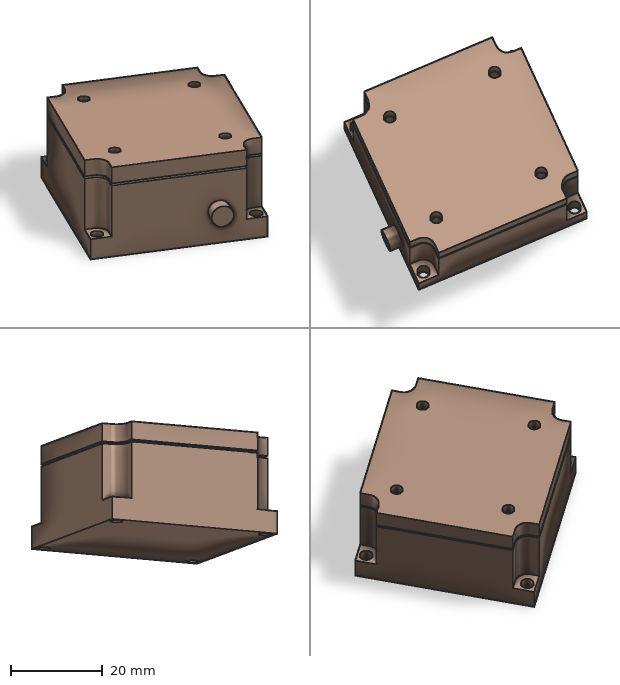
import cadquery as cq
import math

overall_length = 43
side = 40.05
height = 22.0
flange_height = 5.0
lid_thickness = 4.0

gap_height = 0.5
neck_inset = 1.05

corner_inset = 2.0
notch_radius = 2.75
mount_hole_diameter = 2.75

lid_hole_spacing = 25.0
lid_hole_diameter = 2.6
lid_hole_depth = lid_thickness
drill_point_angle = 118

outlet_diameter = 5.0
outlet_length = overall_length - side
outlet_y = 9.05
outlet_z = 8.0

gap_top = height - lid_thickness
gap_bottom = gap_top - gap_height
corner_spacing = side - 2 * corner_inset


def notched_block(bottom, top, inset):
    """Square block with rounded corner notches, its whole outline moved inward by inset."""
    thickness = top - bottom
    block_side = side - 2 * inset
    radius = notch_radius + inset
    notch_reach = corner_inset + radius
    notch_centre = (side - notch_reach) / 2
    block = cq.Workplane("XY", origin=(0, 0, bottom)).rect(block_side, block_side).extrude(thickness)
    notch = (
        cq.Workplane("XY", origin=(notch_centre, notch_centre, bottom))
        .rect(notch_reach, notch_reach)
        .extrude(thickness)
        .edges("|Z and <X and <Y")
        .fillet(radius)
    )
    for corner in range(4):
        block = block.cut(notch.rotate((0, 0, 0), (0, 0, 1), 90 * corner))
    return block


def drill(depth):
    """Drill pointing down from the lid top, with a conical tip below its full-diameter depth."""
    radius = lid_hole_diameter / 2
    tip_length = radius / math.tan(math.radians(drill_point_angle / 2))
    return (
        cq.Workplane("XZ")
        .moveTo(0, height)
        .lineTo(radius, height)
        .lineTo(radius, height - depth)
        .lineTo(0, height - depth - tip_length)
        .close()
        .revolve(360, (0, 0, 0), (0, 1, 0))
        .val()
    )


flange = cq.Workplane("XY").rect(side, side).extrude(flange_height)
body = notched_block(flange_height, gap_bottom, 0)
neck = notched_block(gap_bottom, gap_top, neck_inset)
lid = notched_block(gap_top, height, 0)
housing = flange.union(body).union(neck).union(lid)

mount_holes = (
    cq.Workplane("XY")
    .rect(corner_spacing, corner_spacing, forConstruction=True)
    .vertices()
    .circle(mount_hole_diameter / 2)
    .extrude(flange_height)
)

lid_holes = (
    cq.Workplane("XY")
    .rect(lid_hole_spacing, lid_hole_spacing, forConstruction=True)
    .vertices()
    .eachpoint(lambda place: drill(lid_hole_depth).moved(place))
)

outlet = (
    cq.Workplane("YZ", origin=(side / 2, outlet_y, outlet_z))
    .circle(outlet_diameter / 2)
    .extrude(outlet_length)
)

result = housing.cut(mount_holes).cut(lid_holes).union(outlet)